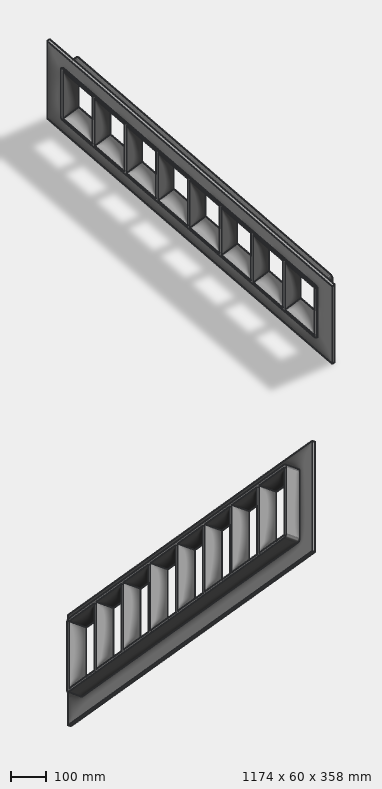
import cadquery as cq

plate_length = 1174.0
plate_height = 358.0
plate_thickness = 10.0

flange_margin = 60.0
body_length = plate_length - 2 * flange_margin
body_height = plate_height - 2 * flange_margin
body_depth = 60.0
front_lip = 4.0
corner_radius = 10.0

window_count = 8
wall = 10.0
window_pitch = (body_length - wall) / window_count
window_width = window_pitch - wall
window_height = body_height - 2 * wall


def block(length, depth, height, front_y):
    """Box centred on X and Z, with its front face at front_y."""
    return cq.Workplane("XY").box(length, depth, height).translate((0, front_y + depth / 2, 0))


def grid_body():
    """Block with rounded corners along its depth; its front face lies at Y = 0."""
    return block(body_length, body_depth, body_height, 0).edges("|Y").fillet(corner_radius)


def windows():
    """Row of evenly spaced rectangular openings through the full depth."""
    cutter = cq.Workplane("XY")
    for index in range(window_count):
        x = (index - (window_count - 1) / 2) * window_pitch
        opening = block(window_width, body_depth, window_height, 0)
        cutter = cutter.add(opening.translate((x, 0, 0)))
    return cutter.combine()


plate = block(plate_length, plate_thickness, plate_height, front_lip)
result = plate.union(grid_body()).cut(windows())